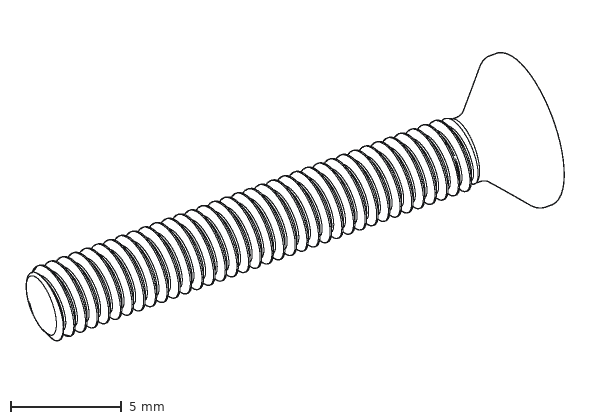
import cadquery as cq
import math

length = 25.0
head_radius = 3.65

cone_angle = math.radians(45)
top_edge_radius = 0.15
rim_round_start = 0.48
rim_round_radius = 0.2

neck_radius = 1.55
neck_fillet_radius = 0.92
neck_fillet_end = 3.02
runout_start = 3.28
runout_length = 0.45

crest_radius = 1.75
pitch = 0.6
flank_angle = math.radians(30)
crest_flat = pitch / 8
thread_depth = 17 / 24 * pitch * math.sqrt(3) / 2
root_radius = crest_radius - thread_depth
tip_radius = 1.42
tip_chamfer_length = 0.18
tip_allowance = 0.5
groove_height = 0.45
groove_turns = 37.2
lead_in_turns = 2
seam_angle = 100
cutter_overlap = 0.02


def screw_blank():
    """Revolved body of the screw, overlong at the tip, before the thread is cut."""
    sine = math.sin(cone_angle)
    flat = 1 - math.cos(cone_angle)

    def arc_middle(radius):
        half = cone_angle / 2
        return radius * math.sin(half), radius * (1 - math.cos(half))

    face = length
    rim_z = face - rim_round_start
    rim_mid_z, rim_mid_r = arc_middle(rim_round_radius)
    neck_z = face - neck_fillet_end
    neck_mid_z, neck_mid_r = arc_middle(neck_fillet_radius)
    edge_inset = top_edge_radius * (1 - math.sqrt(0.5))
    thread_top = face - runout_start

    profile = (
        cq.Workplane("XZ")
        .moveTo(0, -tip_allowance)
        .lineTo(crest_radius, -tip_allowance)
        .lineTo(crest_radius, thread_top - runout_length)
        .lineTo(neck_radius, thread_top)
        .lineTo(neck_radius, neck_z)
        .threePointArc(
            (neck_radius + neck_mid_r, neck_z + neck_mid_z),
            (neck_radius + neck_fillet_radius * flat, neck_z + neck_fillet_radius * sine),
        )
        .lineTo(head_radius - rim_round_radius * flat, rim_z - rim_round_radius * sine)
        .threePointArc((head_radius - rim_mid_r, rim_z - rim_mid_z), (head_radius, rim_z))
        .lineTo(head_radius, face - top_edge_radius)
        .threePointArc(
            (head_radius - edge_inset, face - edge_inset),
            (head_radius - top_edge_radius, face),
        )
        .lineTo(0, face)
        .close()
    )
    blank = profile.revolve(360, (0, 0, 0), (0, 1, 0))
    return blank.rotate((0, 0, 0), (0, 0, 1), seam_angle)


def thread_groove():
    """Helical cutter whose section is the gap between two thread ridges."""
    start_z = groove_height - lead_in_turns * pitch
    outer_radius = crest_radius + cutter_overlap
    outer_half = (pitch - crest_flat) / 2 + cutter_overlap * math.tan(flank_angle)
    root_half = (pitch - crest_flat) / 2 - thread_depth * math.tan(flank_angle)

    helix = cq.Wire.makeHelix(pitch, pitch * groove_turns, root_radius)
    path = cq.Workplane(helix.translate(cq.Vector(0, 0, start_z)))
    section = cq.Workplane("XZ").polyline(
        [
            (root_radius, start_z - root_half),
            (outer_radius, start_z - outer_half),
            (outer_radius, start_z + outer_half),
            (root_radius, start_z + root_half),
        ]
    ).close()
    return section.sweep(path, isFrenet=True)


def tip_trim():
    """Ring that cuts the overlong tip to length and leaves the lead-in chamfer."""
    outer_radius = crest_radius + cutter_overlap
    slope = (crest_radius - tip_radius) / tip_chamfer_length
    trim_bottom = -tip_allowance - cutter_overlap
    profile = cq.Workplane("XZ").polyline(
        [
            (0, trim_bottom),
            (0, 0),
            (tip_radius, 0),
            (outer_radius, (outer_radius - tip_radius) / slope),
            (outer_radius, trim_bottom),
        ]
    ).close()
    return profile.revolve(360, (0, 0, 0), (0, 1, 0))


threaded = screw_blank().cut(thread_groove())
result = threaded.cut(tip_trim()).rotate((0, 0, 0), (1, 0, 0), -90)